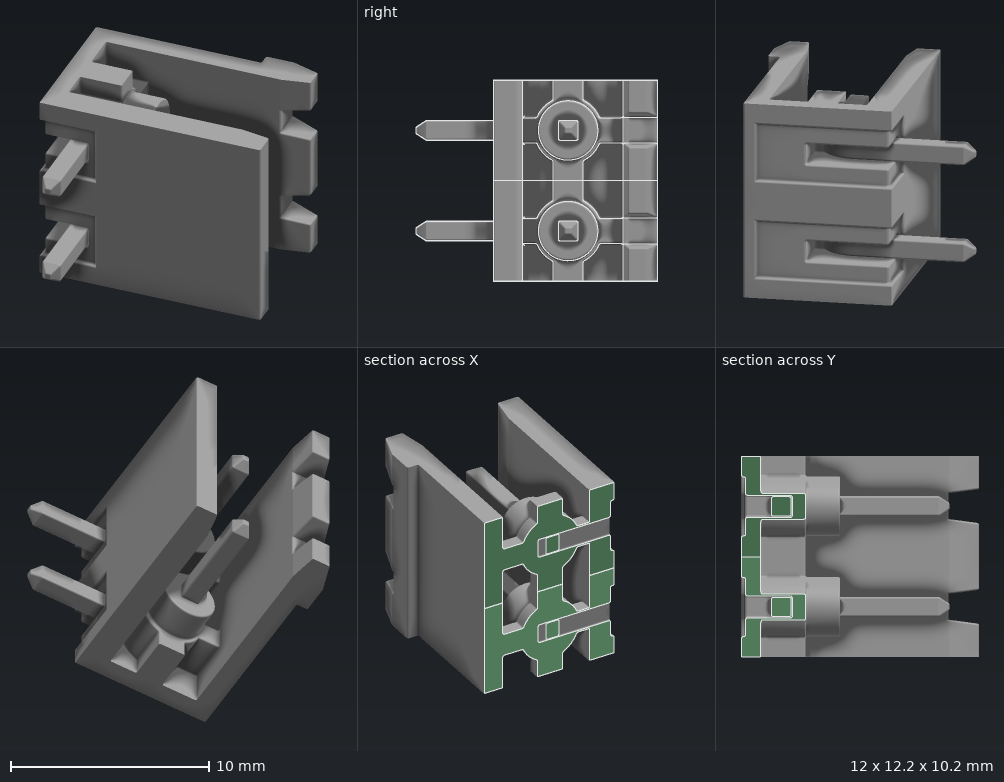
import cadquery as cq
module_count = 2
total_height = 10.16
module_height = total_height / module_count
mid_height = module_height / 2
edge_round = 0.1
clearance = 0.12

length = 12.0
body_depth = 7.65
back_thickness = 0.99
plate_front = 3.26
channel_front = 1.48
channel_rear = 6.54
pocket_depth = 1.9

hook_start = 9.0
hook_height = 0.63
hook_flat_end = 10.52
hook_tip = 7.8

lead_in_start = 10.49
lead_in_rise = 0.27

notch_root = 10.47
notch_root_half = 0.65
notch_mouth_half = 0.85

pin_axis = 3.77
boss_radius = 1.5
boss_end = 5.0
sleeve_radius = 1.71
rib_half_width = 0.76

recess_depth = 0.21
recess_height = 3.16
recess_length_x = 3.12
recess_length_y = 7.11

slot_height = 1.1
slot_floor = 2.56
slot_end = 4.49

pin_size = 1.0
pin_end = 10.52
tail_length = 3.92
tail_back = 1.51
tip_length = 0.52
tip_size = 0.32

bend_radius = 2 * pin_size


def block(x_span, y_span, z_span):
    """Box between the given start and end on each axis."""
    spans = (x_span, y_span, z_span)
    return (
        cq.Workplane("XY")
        .box(*(end - start for start, end in spans), centered=False)
        .translate(tuple(start for start, _ in spans))
    )


def x_cylinder(radius, start, end):
    """Cylinder along the pin axis in X."""
    return (
        cq.Workplane("YZ", origin=(start, pin_axis, mid_height))
        .circle(radius)
        .extrude(end - start)
    )


def edges_within(body, x_span, y_span, z_span):
    """Edges of a body that lie completely inside a box."""
    margin = 0.001
    spans = (x_span, y_span, z_span)
    low = tuple(start - margin for start, _ in spans)
    high = tuple(end + margin for _, end in spans)
    return body.edges(cq.selectors.BoxSelector(low, high, boundingbox=True))


def round_corners(body, corners):
    """Round the full-height edges that stand on the given XY points."""
    for x, y in corners:
        body = edges_within(body, (x, x), (y, y), (0, module_height)).fillet(edge_round)
    return body


def make_frame():
    """Fork-shaped outline with a hooked rear arm."""
    frame = (
        cq.Workplane("XY")
        .polyline([
            (0, 0),
            (length, 0),
            (length, channel_front - lead_in_rise),
            (lead_in_start, channel_front),
            (plate_front, channel_front),
            (plate_front, channel_rear),
            (lead_in_start, channel_rear),
            (length, channel_rear + lead_in_rise),
            (length, hook_tip),
            (hook_flat_end, body_depth + hook_height),
            (hook_start, body_depth + hook_height),
            (hook_start, body_depth),
            (0, body_depth),
        ])
        .close()
        .extrude(module_height)
    )
    return round_corners(frame, [
        (length, 0),
        (length, channel_front - lead_in_rise),
        (length, channel_rear + lead_in_rise),
        (length, hook_tip),
        (hook_start, body_depth + hook_height),
        (hook_start, body_depth),
        (0, body_depth),
        (plate_front, channel_rear),
    ])


def make_pocket(front, rear):
    """Pocket above the plate, beside the rib, with the sleeve standing in its floor."""
    pocket = block(
        (back_thickness, plate_front + clearance),
        (front, rear),
        (module_height - pocket_depth, module_height + clearance),
    )
    pocket = pocket.cut(x_cylinder(sleeve_radius, 0, length))
    back_edges = pocket.edges("<X").edges("not >Z")
    long_edges = pocket.edges("|X").edges("not >Z")
    if front == channel_front:
        long_edges = long_edges.edges("not <Y")
    return pocket.newObject(back_edges.vals() + long_edges.vals()).fillet(edge_round)


def cut_pockets(body):
    """Cut the pockets on both sides of the rib, above and below the plate."""
    rib_front = pin_axis - rib_half_width
    rib_rear = pin_axis + rib_half_width
    for front, rear in ((channel_front, rib_front), (rib_rear, channel_rear)):
        pocket = make_pocket(front, rear)
        body = body.cut(pocket)
        body = body.cut(pocket.mirror("XY", (0, 0, mid_height)))
    return body


def round_plate_front(body):
    """Round the front edges of the plate and of the sleeve, next to the rib."""
    front_edges = edges_within(
        body,
        (plate_front, plate_front),
        (channel_front, channel_rear),
        (clearance, module_height - clearance),
    )
    return front_edges.edges("not |Z").fillet(edge_round)


def add_boss(body):
    """Round boss in front of the sleeve, with a rounded rim and root."""
    boss = x_cylinder(boss_radius, plate_front, boss_end)
    body = body.union(boss.faces(">X").edges().fillet(edge_round))
    root = edges_within(
        body,
        (plate_front, plate_front),
        (pin_axis - boss_radius, pin_axis + boss_radius),
        (mid_height - boss_radius, mid_height + boss_radius),
    )
    return root.edges("%CIRCLE").fillet(edge_round)


def cut_recess(body):
    """Shallow recess that wraps around the outer corner, with rounded rim and root."""
    half_height = recess_height / 2 - edge_round
    end_x = recess_length_x - edge_round
    end_y = recess_length_y - edge_round
    z_span = (mid_height - half_height, mid_height + half_height)
    inner = block((recess_depth, length), (recess_depth, body_depth), z_span)
    cutter = block((0, end_x), (0, end_y), z_span).cut(inner.edges("|Z and <X and <Y").fillet(edge_round))
    body = body.cut(cutter)
    back_rim = edges_within(body, (0, 0), (0, end_y), z_span)
    front_rim = edges_within(body, (0, end_x), (0, 0), z_span)
    body = body.newObject(back_rim.vals() + front_rim.vals()).fillet(edge_round)
    root = edges_within(body, (recess_depth, end_x), (recess_depth, end_y), z_span)
    return root.edges("(not |Z) or >X or >Y").fillet(edge_round)


def cut_slot(body):
    """Slot around the pin bend, open to the back and to the front, with a rounded rim."""
    half_height = slot_height / 2
    z_span = (mid_height - half_height, mid_height + half_height)
    slot = block((0, slot_floor), (0, slot_end), z_span)
    slot = slot.edges("(>X or >Y) and (not <X) and (not <Y)").fillet(edge_round)
    body = body.cut(slot)
    back_rim = edges_within(body, (recess_depth, recess_depth), (recess_depth, slot_end), z_span)
    front_rim = edges_within(body, (recess_depth, slot_floor), (recess_depth, recess_depth), z_span)
    corner = recess_depth + edge_round
    corner_rim = edges_within(body, (recess_depth, corner), (recess_depth, corner), z_span).edges("%CIRCLE")
    return body.newObject(back_rim.vals() + front_rim.vals() + corner_rim.vals()).fillet(edge_round)


def cut_notch(body):
    """V notch through the end of the hook arm, with a rounded rim."""
    notch = (
        cq.Workplane("XZ", origin=(0, pin_axis, mid_height))
        .polyline([
            (notch_root, -notch_root_half),
            (length, -notch_mouth_half),
            (length, notch_mouth_half),
            (notch_root, notch_root_half),
        ])
        .close()
        .extrude(-length)
    )
    body = body.cut(notch)
    rim = edges_within(
        body,
        (notch_root, length),
        (channel_rear, body_depth + hook_height),
        (clearance, module_height - clearance),
    )
    return rim.edges("not |Y").fillet(edge_round)


def make_tip(start, direction, side):
    """Square pyramid frustum on the end of a pin leg."""
    plane = cq.Plane(origin=start, xDir=side, normal=direction)
    return (
        cq.Workplane(plane)
        .rect(pin_size, pin_size)
        .workplane(offset=tip_length)
        .rect(tip_size, tip_size)
        .loft(ruled=True)
    )


def make_pin():
    """Right-angle square pin with rounded edges and pointed ends."""
    half = pin_size / 2
    contact_start = pin_end - tip_length
    tail_start = tip_length - tail_length
    tail_front = tail_back + pin_size
    pin_rear = pin_axis + half
    pin = (
        cq.Workplane("XY", origin=(0, 0, mid_height - half))
        .moveTo(tail_back, tail_start)
        .lineTo(tail_front, tail_start)
        .lineTo(tail_front, pin_axis - half)
        .lineTo(contact_start, pin_axis - half)
        .lineTo(contact_start, pin_rear)
        .lineTo(tail_back + bend_radius, pin_rear)
        .radiusArc((tail_back, pin_rear - bend_radius), -bend_radius)
        .close()
        .extrude(pin_size)
    )
    pin = pin.union(make_tip((contact_start, pin_axis, mid_height), (1, 0, 0), (0, 1, 0)))
    pin = pin.union(make_tip((tail_back + half, tail_start, mid_height), (0, -1, 0), (1, 0, 0)))
    return pin.edges().fillet(edge_round)


def make_module():
    """One connector section: housing with its pin, as a single solid."""
    body = make_frame()
    body = cut_recess(body)
    body = cut_slot(body)
    body = cut_pockets(body)
    body = round_plate_front(body)
    body = add_boss(body)
    body = cut_notch(body)
    return body.union(make_pin())


module = make_module().solids().val()
modules = [module.translate(cq.Vector(0, 0, level * module_height)) for level in range(module_count)]

result = cq.Compound.makeCompound([*modules])